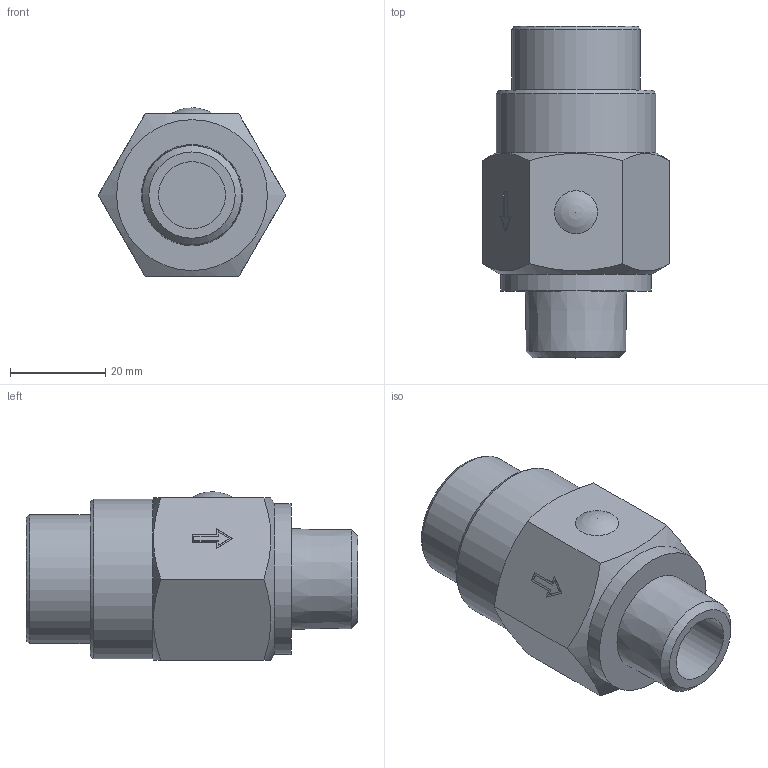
import cadquery as cq
import math


spigot_length = 14.0
flange_length = 3.5
hex_length = 25.5
sleeve_length = 13.1
socket_length = 13.4

tip_y = -spigot_length
hex_front_y = flange_length
hex_rear_y = hex_front_y + hex_length
sleeve_rear_y = hex_rear_y + sleeve_length
socket_rear_y = sleeve_rear_y + socket_length

across_flats = 34.0
flange_diameter = 31.6
sleeve_diameter = 33.4
socket_diameter = 27.0
spigot_root_diameter = 21.2
spigot_taper = 1 / 32
bore_diameter = 14.0
bore_depth = spigot_length

spigot_chamfer = 1.35
rear_chamfer_length = 0.75
rear_chamfer_depth = 0.5
hex_chamfer_angle = 30.0

plug_y = 16.5
plug_diameter = 9.0
plug_height = 1.3

arrow_shaft_length = 5.1
arrow_shaft_width = 1.9
arrow_head_length = 3.4
arrow_head_width = 4.8
arrow_line_width = 0.4
arrow_depth = 0.1
arrow_face_tilt = 60.0

flat_distance = across_flats / 2
corner_radius = flat_distance / math.cos(math.radians(30))


def revolve_profile(points):
    """Revolve a closed (radius, y) outline about the Y axis."""
    return cq.Workplane("XY").polyline(points).close().revolve(360, (0, 0, 0), (0, 1, 0))


def make_stepped_cylinder(front_y, rear_y, diameter):
    """Cylinder along Y with a chamfer on its rear edge."""
    radius = diameter / 2
    return revolve_profile([
        (0, front_y),
        (radius, front_y),
        (radius, rear_y - rear_chamfer_length),
        (radius - rear_chamfer_depth, rear_y),
        (0, rear_y),
    ])


def make_hexagon():
    """Hexagon with flats facing up and down, its corners turned off by a cone at each end."""
    prism = (
        cq.Workplane("XZ", origin=(0, hex_front_y, 0))
        .polygon(6, 2 * corner_radius)
        .extrude(-hex_length)
    )
    slope = math.tan(math.radians(hex_chamfer_angle))
    flange_radius = flange_diameter / 2
    sleeve_radius = sleeve_diameter / 2
    front_chamfer = (corner_radius - flange_radius) * slope
    rear_chamfer = (corner_radius - sleeve_radius) * slope
    envelope = revolve_profile([
        (0, hex_front_y),
        (flange_radius, hex_front_y),
        (corner_radius, hex_front_y + front_chamfer),
        (corner_radius, hex_rear_y - rear_chamfer),
        (sleeve_radius, hex_rear_y),
        (0, hex_rear_y),
    ])
    return prism.intersect(envelope)


def make_flange():
    return cq.Workplane("XZ").circle(flange_diameter / 2).extrude(-flange_length)


def make_spigot():
    """Tapered spigot with a chamfered tip."""
    root_radius = spigot_root_diameter / 2
    tip_radius = root_radius - spigot_taper * spigot_length / 2
    chamfer_y = tip_y + spigot_chamfer
    chamfer_radius = root_radius - spigot_taper * (spigot_length - spigot_chamfer) / 2
    return revolve_profile([
        (0, tip_y),
        (tip_radius - spigot_chamfer, tip_y),
        (chamfer_radius, chamfer_y),
        (root_radius, 0),
        (0, 0),
    ])


def make_bore():
    """Blind bore from the spigot tip."""
    return cq.Workplane("XZ", origin=(0, tip_y, 0)).circle(bore_diameter / 2).extrude(-bore_depth)


def make_plug():
    """Spherical cap that rises from the upper flat."""
    plug_radius = plug_diameter / 2
    sphere_radius = (plug_radius**2 + plug_height**2) / (2 * plug_height)
    sphere_z = flat_distance + plug_height - sphere_radius
    sphere = cq.Workplane("XY", origin=(0, plug_y, sphere_z)).sphere(sphere_radius)
    column = (
        cq.Workplane("XY", origin=(0, plug_y, sphere_z))
        .circle(plug_radius)
        .extrude(sphere_radius)
    )
    return sphere.intersect(column)


def draw_arrow():
    """Arrow outline level with the groove floor, pointing to the spigot."""
    tail_y = (arrow_shaft_length + arrow_head_length) / 2
    head_y = tail_y - arrow_shaft_length
    point_y = head_y - arrow_head_length
    half_shaft = arrow_shaft_width / 2
    half_head = arrow_head_width / 2
    return (
        cq.Workplane("XY", origin=(0, plug_y, flat_distance - arrow_depth))
        .polyline([
            (-half_shaft, tail_y),
            (-half_shaft, head_y),
            (-half_head, head_y),
            (0, point_y),
            (half_head, head_y),
            (half_shaft, head_y),
            (half_shaft, tail_y),
        ])
        .close()
    )


def make_arrow_groove():
    """Cutter that leaves an island of the flat inside the arrow outline."""
    cutter_height = 2 * arrow_depth
    arrow = draw_arrow().extrude(cutter_height)
    island = draw_arrow().offset2D(-arrow_line_width, "intersection").extrude(cutter_height)
    return arrow.cut(island).rotate((0, 0, 0), (0, 1, 0), -arrow_face_tilt)


sleeve = make_stepped_cylinder(hex_rear_y, sleeve_rear_y, sleeve_diameter)
socket = make_stepped_cylinder(sleeve_rear_y, socket_rear_y, socket_diameter)

body = make_hexagon().union(make_flange()).union(make_spigot())
body = body.union(sleeve).union(socket).union(make_plug())

result = body.cut(make_bore()).cut(make_arrow_groove())